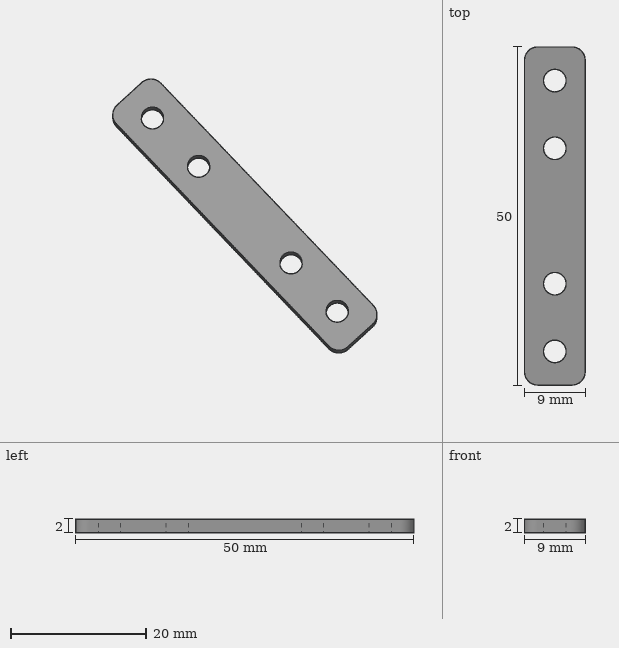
import cadquery as cq

width = 9
length = 50
thickness = 2
corner_radius = 2

hole_diameter = 3.3
edge_to_outer_hole = 5
hole_pitch = 10

outer_hole_y = length / 2 - edge_to_outer_hole
inner_hole_y = outer_hole_y - hole_pitch
hole_centres = [(0, side * y) for side in (-1, 1) for y in (inner_hole_y, outer_hole_y)]

bar = cq.Workplane("XY").box(width, length, thickness).edges("|Z").fillet(corner_radius)

result = bar.faces(">Z").workplane().pushPoints(hole_centres).hole(hole_diameter)